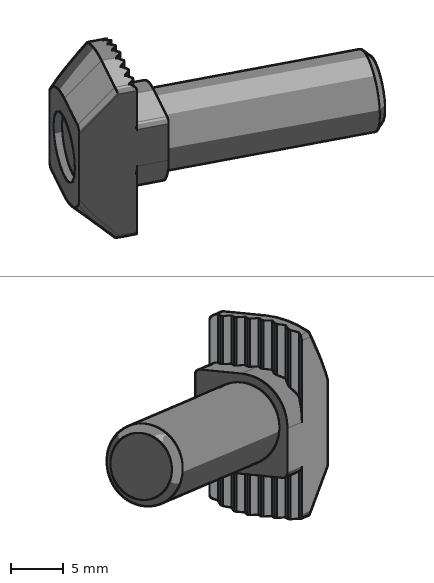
import cadquery as cq
import math

head_width = 9.7
head_height = 19.0
head_length = 8.85
flange_thickness = 5.72
taper = 3.7
corner_radius = 0.52
half_width = head_width / 2
half_height = head_height / 2

groove_pitch = 1.4
groove_depth = 0.58
grooves_per_side = 3

stud_diameter = 8.0
stud_end = 30.75
stud_chamfer = 0.77
recess_depth = 0.77
recess_front_diameter = 6.85
recess_floor_diameter = 6.43


def cylinder(diameter, start, end):
    """Cylinder about the Y axis between two Y positions."""
    return cq.Workplane("XZ", origin=(0, start, 0)).circle(diameter / 2).extrude(start - end)


def frustum(front_radius, back_radius, start, end):
    """Cone frustum about the Y axis, from start to end along Y."""
    solid = cq.Solid.makeCone(
        front_radius, back_radius, end - start, cq.Vector(0, start, 0), cq.Vector(0, 1, 0)
    )
    return cq.Workplane(obj=solid)


def block(x_center, z_center, width, height, start, end):
    """Rectangular block between two Y positions."""
    return (
        cq.Workplane("XZ", origin=(x_center, start, z_center))
        .rect(width, height)
        .extrude(start - end)
    )


def quarter(round_body, square_body, x_side, z_side, reach, start, end):
    """Quadrant of the round body on one X side and of the square body on the other."""
    window = block(x_side * reach / 2, z_side * reach / 2, reach, reach, start, end)
    mirrored_window = block(-x_side * reach / 2, z_side * reach / 2, reach, reach, start, end)
    return round_body.intersect(window).union(square_body.intersect(mirrored_window))


def quarter_turn(round_body, square_body, reach, start, end):
    """Round upper left and lower right quadrants, square in the other two."""
    upper = quarter(round_body, square_body, -1, 1, reach, start, end)
    lower = quarter(round_body, square_body, 1, -1, reach, start, end)
    return upper.union(lower)


def make_flange():
    square_body = (
        cq.Workplane("YZ", origin=(-half_width, 0, 0))
        .polyline([
            (0, half_height - taper),
            (taper, half_height),
            (flange_thickness, half_height),
            (flange_thickness, -half_height),
            (taper, -half_height),
            (0, taper - half_height),
        ])
        .close()
        .extrude(head_width)
    )
    round_body = frustum(half_height - taper, half_height, 0, taper).union(
        cylinder(head_height, taper, flange_thickness)
    )
    sides = block(0, 0, head_width, head_height, 0, flange_thickness)
    flange = quarter_turn(round_body, square_body, head_height, 0, flange_thickness).intersect(sides)

    margin = 0.03
    round_corner_z = math.sqrt(half_height**2 - half_width**2)
    lowest_corner_z = math.sqrt((half_height - taper) ** 2 - half_width**2)

    def is_corner(edge):
        box = edge.BoundingBox()
        center = edge.Center()
        on_side = box.xlen < margin and abs(abs(center.x) - half_width) < margin
        sloped_or_straight = box.ylen > margin
        straight = box.zlen < margin and abs(center.z) > round_corner_z - margin
        tapered = box.zlen > margin and abs(center.z) > lowest_corner_z
        return on_side and sloped_or_straight and (straight or tapered)

    corners = [edge for edge in flange.edges().vals() if is_corner(edge)]
    return flange.newObject(corners).fillet(corner_radius)


def cut_grooves(flange):
    for index in range(-grooves_per_side, grooves_per_side + 1):
        center = index * groove_pitch
        groove = (
            cq.Workplane("XY", origin=(0, 0, -half_height))
            .moveTo(center - groove_depth, flange_thickness)
            .lineTo(center, flange_thickness - groove_depth)
            .lineTo(center + groove_depth, flange_thickness)
            .close()
            .extrude(head_height)
        )
        flange = flange.cut(groove)
    return flange


def make_neck():
    """Neck that runs forward to the groove bottoms so that it fills the grooves under it."""
    start = flange_thickness - groove_depth
    square_body = block(0, 0, head_width, head_width, start, head_length)
    square_body = square_body.edges("|Y").fillet(corner_radius)
    round_body = cylinder(head_width, start, head_length)
    return quarter_turn(round_body, square_body, head_width, start, head_length)


def make_head():
    recess = frustum(recess_front_diameter / 2, recess_floor_diameter / 2, 0, recess_depth)
    bore = cylinder(stud_diameter, recess_depth, head_length)
    return cut_grooves(make_flange()).union(make_neck()).cut(recess).cut(bore)


def make_stud():
    return cylinder(stud_diameter, recess_depth, stud_end).faces(">Y").chamfer(stud_chamfer)


head = make_head()
stud = make_stud()
result = cq.Compound.makeCompound([head.solids().val(), stud.val()])